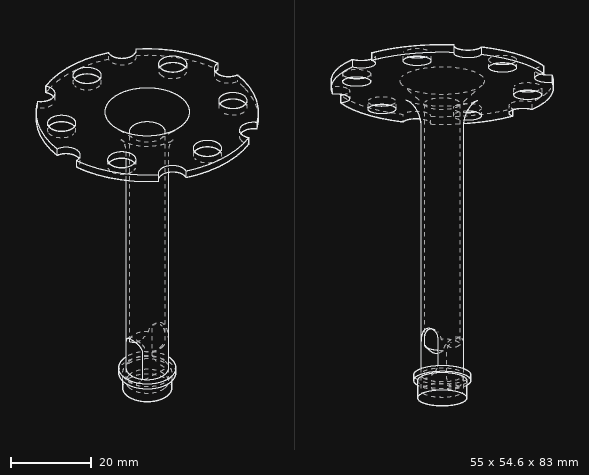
import cadquery as cq
import math

TOTAL_HEIGHT = 83.0
PLATE_THICKNESS = 2.0
PLATE_BOTTOM = TOTAL_HEIGHT - PLATE_THICKNESS

PLATE_DIAMETER = 55.0
PLATE_HOLE_DIAMETER = 7.0
HOLE_RING_RADIUS = 21.75
NOTCH_RING_RADIUS = PLATE_DIAMETER / 2
HOLE_COUNT = 6
HOLE_STEP = 360.0 / HOLE_COUNT

STEM_DIAMETER = 10.5
STEM_RADIUS = STEM_DIAMETER / 2
FLARE_RADIUS = 10.0

FUNNEL_DIAMETER = 20.9
BORE_DIAMETER = 8.9
BORE_RADIUS = BORE_DIAMETER / 2
FUNNEL_DEPTH = (FUNNEL_DIAMETER - BORE_DIAMETER) / 2
BORE_TIP_HALF_ANGLE = 45.0
BORE_TIP_LENGTH = BORE_RADIUS / math.tan(math.radians(BORE_TIP_HALF_ANGLE))

SLOT_WIDTH = 6.0
SLOT_TOP = 16.9
SLOT_LENGTH = 12.95
SLOT_UPPER_CENTER = SLOT_TOP - SLOT_WIDTH / 2
SLOT_CENTER = SLOT_TOP - SLOT_LENGTH / 2

CAP_DIAMETER = 12.2
FLANGE_DIAMETER = 14.2
FLANGE_THICKNESS = 1.5
CAP_HEIGHT = 6.1
CAP_FLOOR = 2.0


def ring_of_cutters(radius, first_angle):
    """Vertical cylinders, evenly spaced on a circle, reaching through the plate."""
    return (
        cq.Workplane("XY", origin=(0, 0, PLATE_BOTTOM))
        .polarArray(radius, first_angle, 360, HOLE_COUNT)
        .circle(PLATE_HOLE_DIAMETER / 2)
        .extrude(PLATE_THICKNESS)
    )


def make_outer_shape():
    """Stem, concave flare and plate turned about Z."""
    flare_center_radius = STEM_RADIUS + FLARE_RADIUS
    flare_bottom = PLATE_BOTTOM - FLARE_RADIUS
    arc_offset = FLARE_RADIUS * math.cos(math.radians(45))
    arc_middle = (flare_center_radius - arc_offset, flare_bottom + arc_offset)
    return (
        cq.Workplane("XZ")
        .moveTo(0, CAP_FLOOR)
        .lineTo(STEM_RADIUS, CAP_FLOOR)
        .lineTo(STEM_RADIUS, flare_bottom)
        .threePointArc(arc_middle, (flare_center_radius, PLATE_BOTTOM))
        .lineTo(PLATE_DIAMETER / 2, PLATE_BOTTOM)
        .lineTo(PLATE_DIAMETER / 2, TOTAL_HEIGHT)
        .lineTo(0, TOTAL_HEIGHT)
        .close()
        .revolve(360, (0, 0, 0), (0, 1, 0))
    )


def make_bore():
    """Funnel, straight bore and conical tip turned about Z."""
    return (
        cq.Workplane("XZ")
        .moveTo(0, TOTAL_HEIGHT)
        .lineTo(FUNNEL_DIAMETER / 2, TOTAL_HEIGHT)
        .lineTo(BORE_RADIUS, TOTAL_HEIGHT - FUNNEL_DEPTH)
        .lineTo(BORE_RADIUS, SLOT_UPPER_CENTER)
        .lineTo(0, SLOT_UPPER_CENTER - BORE_TIP_LENGTH)
        .close()
        .revolve(360, (0, 0, 0), (0, 1, 0))
    )


def make_slot():
    """Upright round-ended slot crossing the whole stem."""
    return (
        cq.Workplane("XZ", origin=(0, 0, SLOT_CENTER))
        .slot2D(SLOT_LENGTH, SLOT_WIDTH, 90)
        .extrude(STEM_DIAMETER, both=True)
    )


def make_stem():
    """Flared stem with its perforated plate."""
    holes = ring_of_cutters(HOLE_RING_RADIUS, 0)
    notches = ring_of_cutters(NOTCH_RING_RADIUS, HOLE_STEP / 2)
    return make_outer_shape().cut(make_bore()).cut(make_slot()).cut(holes).cut(notches)


def make_cap():
    """Cup with a flange at its rim and a seat that fits the stem."""
    cup = cq.Workplane("XY").circle(CAP_DIAMETER / 2).extrude(CAP_HEIGHT)
    flange = (
        cq.Workplane("XY", origin=(0, 0, CAP_HEIGHT - FLANGE_THICKNESS))
        .circle(FLANGE_DIAMETER / 2)
        .extrude(FLANGE_THICKNESS)
    )
    seat = (
        cq.Workplane("XY", origin=(0, 0, CAP_FLOOR))
        .circle(STEM_RADIUS)
        .extrude(CAP_HEIGHT - CAP_FLOOR)
    )
    return cup.union(flange).cut(seat)


stem = make_stem()
cap = make_cap()

result = cq.Compound.makeCompound([stem.val(), cap.val()])